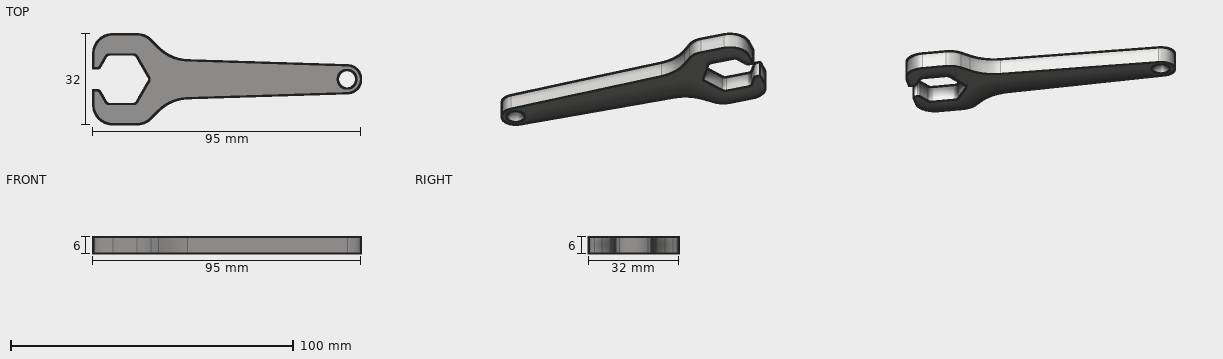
import cadquery as cq
import math

thickness = 6.0
overall_length = 95.0
head_width = 32.0
head_front_x = -10.0

hex_across_flats = 17.5
mouth_width = 7.7
hex_corner_radius = 1.5
hex_tip_radius = 1.0
lip_radius = 1.0

jaw_outer_radius = 7.0
shoulder_radius = 7.0
neck_radius = 15.0
shoulder_angle = math.radians(45)
shoulder_start_x = 8.4

handle_root_half_width = 7.5
handle_end_radius = 5.0
hanging_hole_diameter = 6.5

head_half_width = head_width / 2
end_center_x = head_front_x + overall_length - handle_end_radius
hex_corner_distance = hex_across_flats / math.sqrt(3)

root_to_end_center = math.hypot(end_center_x, handle_root_half_width)
taper_angle = (
    math.asin(handle_root_half_width / root_to_end_center)
    - math.asin(handle_end_radius / root_to_end_center)
)
end_tangent_x = end_center_x + handle_end_radius * math.sin(taper_angle)
end_tangent_y = handle_end_radius * math.cos(taper_angle)

shoulder_slope = math.tan(shoulder_angle)
taper_slope = math.tan(taper_angle)
neck_x = (
    head_half_width + shoulder_slope * shoulder_start_x - handle_root_half_width
) / (shoulder_slope - taper_slope)
neck_y = handle_root_half_width - taper_slope * neck_x


def round_edges_at(body, corner_x, corner_y, radius):
    """Round the vertical edges at (corner_x, +corner_y) and (corner_x, -corner_y)."""
    for y in (corner_y, -corner_y):
        edge = cq.selectors.NearestToPointSelector((corner_x, y, thickness / 2))
        body = body.edges("|Z").edges(edge).fillet(radius)
    return body


def make_blank():
    """Head and tapered handle with a round end, before the jaw is cut."""
    blank = (
        cq.Workplane("XY")
        .moveTo(head_front_x, -head_half_width)
        .lineTo(shoulder_start_x, -head_half_width)
        .lineTo(neck_x, -neck_y)
        .lineTo(end_tangent_x, -end_tangent_y)
        .threePointArc((end_center_x + handle_end_radius, 0), (end_tangent_x, end_tangent_y))
        .lineTo(neck_x, neck_y)
        .lineTo(shoulder_start_x, head_half_width)
        .lineTo(head_front_x, head_half_width)
        .close()
        .extrude(thickness)
    )
    blank = round_edges_at(blank, head_front_x, head_half_width, jaw_outer_radius)
    blank = round_edges_at(blank, shoulder_start_x, head_half_width, shoulder_radius)
    return round_edges_at(blank, neck_x, neck_y, neck_radius)


def cut_jaw(body):
    """Cut the hexagonal opening and its narrower mouth, then round the corners."""
    hexagon = cq.Workplane("XY").polygon(6, 2 * hex_corner_distance).extrude(thickness)
    mouth_length = -head_front_x
    mouth = (
        cq.Workplane("XY")
        .center(-mouth_length / 2, 0)
        .rect(mouth_length, mouth_width)
        .extrude(thickness)
    )
    body = body.cut(hexagon).cut(mouth)

    handle_side_corner = cq.selectors.NearestToPointSelector((hex_corner_distance, 0, thickness / 2))
    body = body.edges("|Z").edges(handle_side_corner).fillet(hex_tip_radius)

    flat_corner_x = hex_corner_distance / 2
    flat_corner_y = hex_across_flats / 2
    for x in (-flat_corner_x, flat_corner_x):
        body = round_edges_at(body, x, flat_corner_y, hex_corner_radius)

    lip_y = mouth_width / 2
    lip_x = lip_y / math.sqrt(3) - hex_corner_distance
    return round_edges_at(body, lip_x, lip_y, lip_radius)


def cut_hanging_hole(body):
    """Drill the through hole concentric with the round handle end."""
    hole = (
        cq.Workplane("XY")
        .center(end_center_x, 0)
        .circle(hanging_hole_diameter / 2)
        .extrude(thickness)
    )
    return body.cut(hole)


result = cut_hanging_hole(cut_jaw(make_blank()))